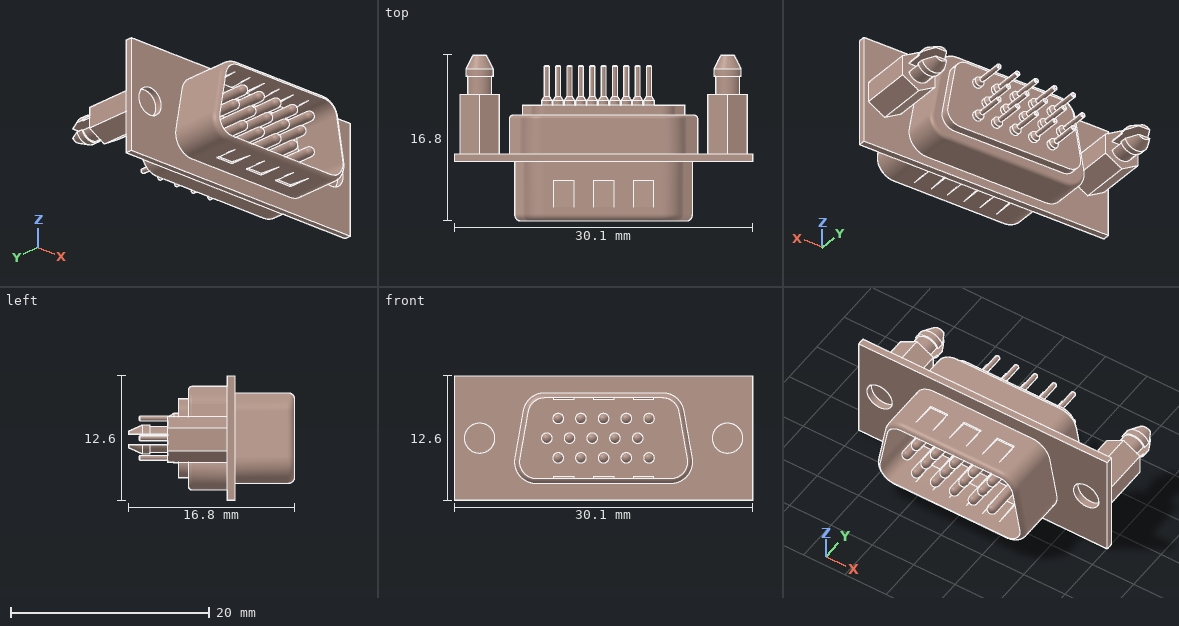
import cadquery as cq
import math


FLANGE_WIDTH = 30.1
FLANGE_HEIGHT = 12.55
FLANGE_THICKNESS = 0.8
MOUNT_SPACING = 25.0
MOUNT_HOLE_DIAMETER = 3.05

SIDE_ANGLE = math.radians(10)
CORNER_RADIUS = 2.2

SHELL_LENGTH = 6.0
SHELL_HALF_WIDTH = 8.97
SHELL_HALF_HEIGHT = 4.58
SHELL_WALL = 0.5
SHELL_RIM_RADIUS = 0.72

REAR_HALF_WIDTH = 9.5
REAR_HALF_HEIGHT = 5.24
REAR_END = 4.72
REAR_EDGE_RADIUS = 0.4

INSULATOR_HALF_WIDTH = 8.19
INSULATOR_HALF_HEIGHT = 4.0
INSULATOR_RADIUS = 1.5
INSULATOR_END = 5.72

TAB_WIDTH = 2.05
TAB_LENGTH = 2.65
TAB_PITCH = 4.02
TAB_CENTRE_Y = -3.24
TAB_BEND = 0.2

PIN_PITCH = 2.29
PIN_ROW_PITCH = 1.985
PINS_PER_ROW = 5
PIN_RADIUS = 0.53
PIN_FRONT = -5.7
COLLAR_END = 6.17
TAIL_START = 6.6
TAIL_END = 9.7
TAIL_RADIUS = 0.26
TAIL_CHAMFER = 0.1

POST_Z = -0.13
HEX_ACROSS_FLATS = 4.0
HEX_LENGTH = 6.0
PEG_RADIUS = 1.32
BARB_RADIUS = 1.47
PEG_TIP_RADIUS = 0.84
BARB_START = 8.6
BARB_END = 9.35
PEG_END = 10.75
PEG_SLOT = 1.03


def plane_at(y):
    """XZ workplane at the given Y, whose normal points towards -Y."""
    return cq.Workplane("XZ", origin=(0, y, 0))


def d_body(half_width, half_height, radius, y_front, y_back):
    """Prism with a rounded D outline, wide side down, between two Y positions."""
    centre_x = half_width - radius
    centre_z = radius - half_height
    side_reach = centre_x * math.cos(SIDE_ANGLE) + centre_z * math.sin(SIDE_ANGLE) + radius
    slant = half_height * math.sin(SIDE_ANGLE)
    bottom_x = (side_reach + slant) / math.cos(SIDE_ANGLE)
    top_x = (side_reach - slant) / math.cos(SIDE_ANGLE)
    corners = [
        (-bottom_x, -half_height),
        (bottom_x, -half_height),
        (top_x, half_height),
        (-top_x, half_height),
    ]
    prism = plane_at(y_back).polyline(corners).close().extrude(y_back - y_front)
    return prism.edges("|Y").fillet(radius)


def extrude_at_tabs(profile):
    """Extrude a closed (y, z) profile to the tab width at each of the three tab places."""
    prism = cq.Workplane("YZ").polyline(profile).close().extrude(TAB_WIDTH / 2, both=True)
    tabs = prism
    for x in (-TAB_PITCH, TAB_PITCH):
        tabs = tabs.union(prism.translate((x, 0, 0)))
    return tabs


def make_flange():
    flange = plane_at(FLANGE_THICKNESS).rect(FLANGE_WIDTH, FLANGE_HEIGHT).extrude(FLANGE_THICKNESS)
    holes = (
        plane_at(FLANGE_THICKNESS)
        .rarray(MOUNT_SPACING, 1, 2, 1)
        .circle(MOUNT_HOLE_DIAMETER / 2)
        .extrude(FLANGE_THICKNESS)
    )
    return flange.cut(holes)


def make_shell():
    crest = math.sqrt(SHELL_RIM_RADIUS**2 - (SHELL_RIM_RADIUS - SHELL_WALL) ** 2)
    uncut_front = -SHELL_LENGTH - (SHELL_RIM_RADIUS - crest)
    shell = d_body(SHELL_HALF_WIDTH, SHELL_HALF_HEIGHT, CORNER_RADIUS, uncut_front, 0)
    shell = shell.faces("<Y").edges().fillet(SHELL_RIM_RADIUS)
    cavity = d_body(
        SHELL_HALF_WIDTH - SHELL_WALL,
        SHELL_HALF_HEIGHT - SHELL_WALL,
        CORNER_RADIUS - SHELL_WALL,
        uncut_front,
        0,
    )
    shell = shell.cut(cavity)
    front = TAB_CENTRE_Y - TAB_LENGTH / 2
    back = TAB_CENTRE_Y + TAB_LENGTH / 2
    for side in (-1, 1):
        outer_z = side * SHELL_HALF_HEIGHT
        inner_z = side * (SHELL_HALF_HEIGHT - SHELL_WALL)
        bend = side * TAB_BEND
        window = [(front, outer_z), (back, outer_z), (back, inner_z), (front, inner_z)]
        tab = [(front, outer_z), (back, outer_z - bend), (back, inner_z - bend), (front, inner_z)]
        shell = shell.cut(extrude_at_tabs(window)).union(extrude_at_tabs(tab))
    return shell


def make_rear_body():
    rear = d_body(REAR_HALF_WIDTH, REAR_HALF_HEIGHT, CORNER_RADIUS, FLANGE_THICKNESS, REAR_END)
    rear = rear.faces(">Y").edges().fillet(REAR_EDGE_RADIUS)
    insulator = d_body(
        INSULATOR_HALF_WIDTH, INSULATOR_HALF_HEIGHT, INSULATOR_RADIUS, REAR_END, INSULATOR_END
    )
    return rear.union(insulator)


def make_pin():
    """Pin on the Y axis: round nose, full-diameter shank, cone and thin tail."""
    nose_arc = PIN_RADIUS * math.sqrt(0.5)
    return (
        cq.Workplane("XY")
        .moveTo(0, PIN_FRONT)
        .threePointArc(
            (nose_arc, PIN_FRONT + PIN_RADIUS - nose_arc), (PIN_RADIUS, PIN_FRONT + PIN_RADIUS)
        )
        .lineTo(PIN_RADIUS, COLLAR_END)
        .lineTo(TAIL_RADIUS, TAIL_START)
        .lineTo(TAIL_RADIUS, TAIL_END - TAIL_CHAMFER)
        .lineTo(TAIL_RADIUS - TAIL_CHAMFER, TAIL_END)
        .lineTo(0, TAIL_END)
        .close()
        .revolve(360, (0, 0, 0), (0, 1, 0))
    )


def pin_positions():
    """(x, z) of every pin; the middle row is shifted half a pitch towards -X."""
    positions = []
    for row in (-1, 0, 1):
        shift = -PIN_PITCH / 2 if row == 0 else 0
        for column in range(PINS_PER_ROW):
            x = (column - (PINS_PER_ROW - 1) / 2) * PIN_PITCH + shift
            positions.append((x, row * PIN_ROW_PITCH))
    return positions


def make_post():
    """Hexagonal standoff on the Y axis ending in a barbed peg split by a slot."""
    hex_end = FLANGE_THICKNESS + HEX_LENGTH
    hexagon = (
        plane_at(hex_end)
        .transformed(rotate=(0, 0, 90))
        .polygon(6, HEX_ACROSS_FLATS / math.cos(math.pi / 6))
        .extrude(HEX_LENGTH)
    )
    peg = (
        cq.Workplane("XY")
        .moveTo(0, hex_end)
        .lineTo(PEG_RADIUS, hex_end)
        .lineTo(PEG_RADIUS, BARB_START)
        .lineTo(BARB_RADIUS, BARB_START)
        .lineTo(BARB_RADIUS, BARB_END)
        .lineTo(PEG_TIP_RADIUS, PEG_END)
        .lineTo(0, PEG_END)
        .close()
        .revolve(360, (0, 0, 0), (0, 1, 0))
    )
    slot = plane_at(PEG_END).rect(2 * HEX_ACROSS_FLATS, PEG_SLOT).extrude(PEG_END - hex_end)
    return hexagon.union(peg.cut(slot))


result = make_flange().union(make_shell()).union(make_rear_body())

pin = make_pin()
for pin_x, pin_z in pin_positions():
    result = result.union(pin.translate((pin_x, 0, pin_z)))

post = make_post()
for side in (-1, 1):
    result = result.union(post.translate((side * MOUNT_SPACING / 2, 0, POST_Z)))